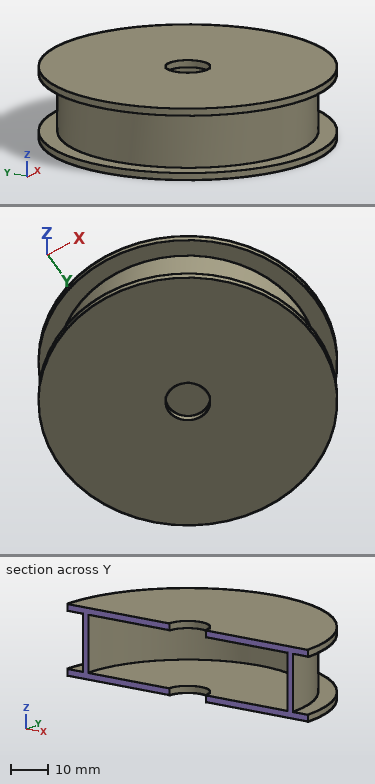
import cadquery as cq

flange_diameter = 80.0
spool_height = 20.0
flange_thickness = 2.0

drum_diameter = 70.0
wall_thickness = 2.0
cavity_diameter = drum_diameter - 2 * wall_thickness
drum_height = spool_height - 2 * flange_thickness

bore_diameter = 12.0


def disc(diameter, height, base_z):
    """Solid cylinder on the Z axis, standing on base_z."""
    return cq.Workplane("XY").workplane(offset=base_z).circle(diameter / 2).extrude(height)


def spool_body():
    """Drum with a flange at each end."""
    body = disc(drum_diameter, spool_height, 0)
    for base_z in (0, spool_height - flange_thickness):
        body = body.union(disc(flange_diameter, flange_thickness, base_z))
    return body


def cavity():
    """Enclosed space inside the drum, from flange to flange."""
    return disc(cavity_diameter, drum_height, flange_thickness)


def bore():
    """Axle hole along the full height."""
    return disc(bore_diameter, spool_height, 0)


result = spool_body().cut(cavity()).cut(bore())